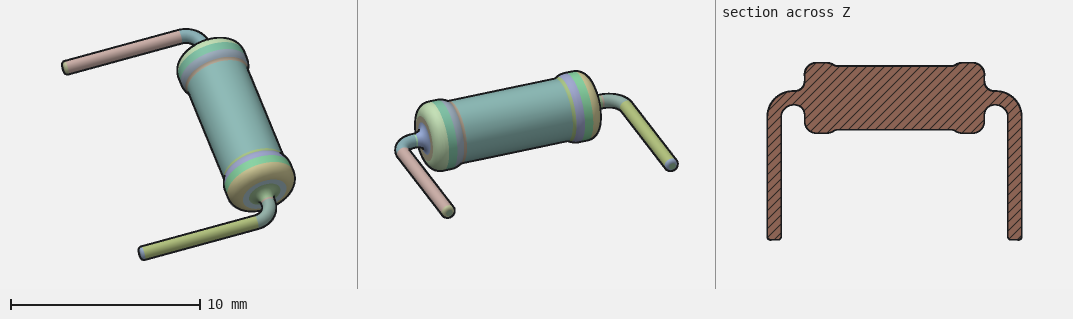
import cadquery as cq
import math

overall_length = 13.45
overall_depth = 9.37
lead_diameter = 0.75
lead_radius = lead_diameter / 2
lead_offset = (overall_length - lead_diameter) / 2
bend_radius = 1.0
tip_fillet = 0.19

body_half_length = 4.76
barrel_radius = 1.7
cap_diameter = 3.75
cap_radius = cap_diameter / 2
cap_fillet = 0.66
cap_flat_length = 0.47
shoulder_length = 0.62
shoulder_convex_share = 0.7
lead_reach = overall_depth - cap_radius
neck_fillet = 0.5

mid_arc = math.sqrt(0.5)


def half_body():
    """Revolved half of the body on the -X side, including the neck flare."""
    neck_start = -body_half_length - neck_fillet
    neck_outer = lead_radius + neck_fillet
    flat_start = -body_half_length + cap_fillet
    flat_end = flat_start + cap_flat_length
    shoulder_end = flat_end + shoulder_length
    shoulder_drop = cap_radius - barrel_radius
    inflection = (
        flat_end + shoulder_convex_share * shoulder_length,
        cap_radius - shoulder_convex_share * shoulder_drop,
    )
    neck_mid = (
        neck_start + neck_fillet * mid_arc,
        neck_outer - neck_fillet * mid_arc,
    )
    cap_mid = (
        flat_start - cap_fillet * mid_arc,
        cap_radius - cap_fillet + cap_fillet * mid_arc,
    )
    profile = (
        cq.Workplane("XY")
        .moveTo(neck_start, 0)
        .lineTo(neck_start, lead_radius)
        .threePointArc(neck_mid, (-body_half_length, neck_outer))
        .lineTo(-body_half_length, cap_radius - cap_fillet)
        .threePointArc(cap_mid, (flat_start, cap_radius))
        .lineTo(flat_end, cap_radius)
        .tangentArcPoint(inflection, relative=False)
        .tangentArcPoint((shoulder_end, barrel_radius), relative=False)
        .lineTo(0, barrel_radius)
        .lineTo(0, 0)
        .close()
    )
    return profile.revolve(360, (0, 0, 0), (1, 0, 0))


def lead():
    """Bent wire on the -X side, rooted inside the body, with a rounded tip."""
    bend_mid = (
        -lead_offset + bend_radius * (1 - mid_arc),
        -bend_radius * (1 - mid_arc),
    )
    path = (
        cq.Workplane("XY")
        .moveTo(-body_half_length / 2, 0)
        .lineTo(-lead_offset + bend_radius, 0)
        .threePointArc(bend_mid, (-lead_offset, -bend_radius))
        .lineTo(-lead_offset, -lead_reach)
    )
    wire = (
        cq.Workplane("YZ", origin=(-body_half_length / 2, 0, 0))
        .circle(lead_radius)
        .sweep(path)
    )
    return wire.faces("<Y").edges().fillet(tip_fillet)


half = half_body().union(lead())
result = half.union(half.mirror("YZ"))